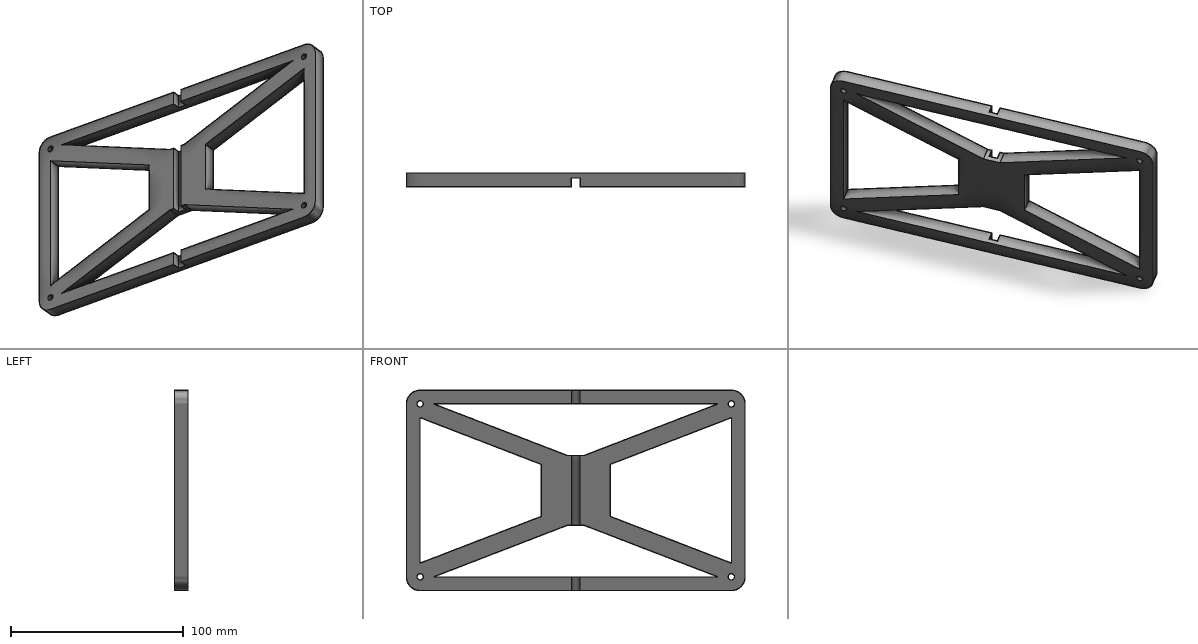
import cadquery as cq

LENGTH = 196.0
HEIGHT = 116.0
THICKNESS = 8.0
BAR_WIDTH = 8.0
CORNER_RADIUS = 8.0

HOLE_DIAMETER = 3.5
HOLE_X = LENGTH / 2 - CORNER_RADIUS
HOLE_Z = HEIGHT / 2 - CORNER_RADIUS

INNER_X = LENGTH / 2 - BAR_WIDTH
INNER_Z = HEIGHT / 2 - BAR_WIDTH

BRACE_SETBACK = 8.0
HUB_HALF_LENGTH = 20.0
SIDE_INNER_HALF_HEIGHT = 15.0
HUB_FLAT_HALF_LENGTH = 5.0

GROOVE_WIDTH = 5.0
GROOVE_DEPTH = 5.0

SIDE_OUTER_HALF_HEIGHT = INNER_Z - BRACE_SETBACK
END_OUTER_HALF_LENGTH = INNER_X - BRACE_SETBACK

BRACE_SLOPE = (SIDE_OUTER_HALF_HEIGHT - SIDE_INNER_HALF_HEIGHT) / (INNER_X - HUB_HALF_LENGTH)
HUB_HALF_HEIGHT = INNER_Z - BRACE_SLOPE * (END_OUTER_HALF_LENGTH - HUB_FLAT_HALF_LENGTH)


def make_plate():
    """Solid plate centred on the origin, rounded at its four corners."""
    return cq.Workplane("XY").box(LENGTH, THICKNESS, HEIGHT).edges("|Y").fillet(CORNER_RADIUS)


def through_prism(points):
    """Prism through the plate's thickness from an outline of (x, z) points."""
    return cq.Workplane("XZ").polyline(points).close().extrude(THICKNESS, both=True)


def side_opening(side):
    """Trapezoid beside the hub; side is -1 for -X and +1 for +X."""
    return through_prism([
        (side * INNER_X, SIDE_OUTER_HALF_HEIGHT),
        (side * HUB_HALF_LENGTH, SIDE_INNER_HALF_HEIGHT),
        (side * HUB_HALF_LENGTH, -SIDE_INNER_HALF_HEIGHT),
        (side * INNER_X, -SIDE_OUTER_HALF_HEIGHT),
    ])


def end_opening(side):
    """Trapezoid above (+1) or below (-1) the hub."""
    return through_prism([
        (-END_OUTER_HALF_LENGTH, side * INNER_Z),
        (END_OUTER_HALF_LENGTH, side * INNER_Z),
        (HUB_FLAT_HALF_LENGTH, side * HUB_HALF_HEIGHT),
        (-HUB_FLAT_HALF_LENGTH, side * HUB_HALF_HEIGHT),
    ])


def mounting_holes():
    """Four through holes at the corners."""
    return (
        cq.Workplane("XZ")
        .rect(2 * HOLE_X, 2 * HOLE_Z, forConstruction=True)
        .vertices()
        .circle(HOLE_DIAMETER / 2)
        .extrude(THICKNESS, both=True)
    )


def front_groove():
    """Straight vertical groove, open at the front face and at both ends."""
    groove_center_y = (GROOVE_DEPTH - THICKNESS) / 2
    groove = cq.Workplane("XY").box(GROOVE_WIDTH, GROOVE_DEPTH, HEIGHT)
    return groove.translate((0, groove_center_y, 0))


result = make_plate()
for direction in (-1, 1):
    result = result.cut(side_opening(direction))
    result = result.cut(end_opening(direction))
result = result.cut(mounting_holes())
result = result.cut(front_groove())